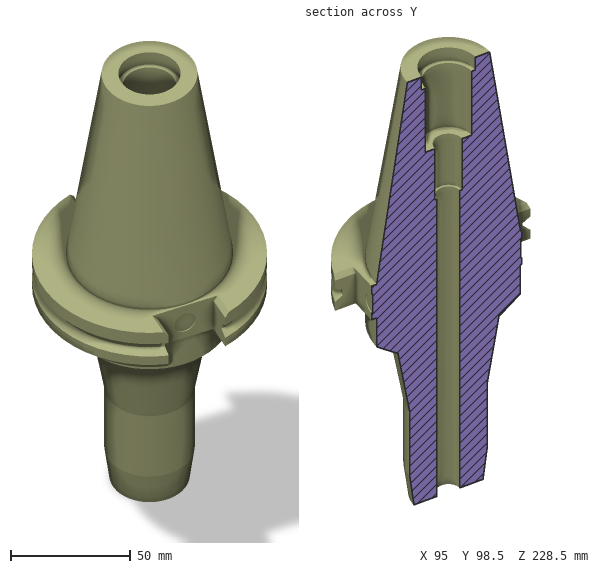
import cadquery as cq
import math

total_height = 228.5
nose_taper_top = 16.5
nose_cylinder_top = 51.0
neck_top = 84.5
collar_bottom = 92.4
flange_bottom = 108.0
flange_top = 126.2
gauge_height = 127.3

nose_tip_radius = 17.0
nose_radius = 19.0
neck_top_radius = 24.7
collar_radius = 35.0
flange_diameter = 98.5
flange_radius = flange_diameter / 2
taper_end_radius = 20.1

groove_radius = 45.7
groove_top = 119.8
groove_bottom = 112.7
groove_flank_angle = 30.0
groove_flank_height = (flange_radius - groove_radius) * math.tan(math.radians(groove_flank_angle))

left_slot_floor = 37.5
right_slot_floor = 35.7
slot_width = 26.0
slot_chamfer = 2.0
dimple_diameter = 9.8
dimple_depth = 0.5
dimple_height = 116.5

entry_radius = 13.0
entry_depth = 6.9
thread_radius = 11.2
thread_depth = 41.1
pilot_radius = 6.6
pilot_depth = 68.5
through_radius = 5.5


def make_body():
    """Revolve the outer profile, including the flange and its V-groove."""
    profile = [
        (0, 0),
        (nose_tip_radius, 0),
        (nose_radius, nose_taper_top),
        (nose_radius, nose_cylinder_top),
        (neck_top_radius, neck_top),
        (collar_radius, collar_bottom),
        (collar_radius, flange_bottom),
        (flange_radius, flange_bottom),
        (flange_radius, groove_bottom),
        (groove_radius, groove_bottom + groove_flank_height),
        (groove_radius, groove_top - groove_flank_height),
        (flange_radius, groove_top),
        (flange_radius, flange_top),
        (collar_radius, flange_top),
        (collar_radius, gauge_height),
        (taper_end_radius, total_height),
        (0, total_height),
    ]
    return cq.Workplane("XZ").polyline(profile).close().revolve(360, (0, 0), (0, 1))


def make_bore():
    """Stack the bore steps as cylinders cut down from the top face."""
    steps = [
        (entry_radius, entry_depth),
        (thread_radius, thread_depth),
        (pilot_radius, pilot_depth),
        (through_radius, total_height),
    ]
    bore = cq.Workplane("XY")
    for radius, depth in steps:
        step_floor = cq.Workplane("XY", origin=(0, 0, total_height - depth))
        bore = bore.union(step_floor.circle(radius).extrude(depth))
    return bore


def make_drive_slot(side, slot_floor):
    """Slot through the flange with chamfered upper edges and a round dimple in its floor; side is -1 or 1."""
    half_width = slot_width / 2
    outline = [
        (-half_width, flange_bottom),
        (half_width, flange_bottom),
        (half_width, flange_top - slot_chamfer),
        (half_width + slot_chamfer, flange_top),
        (-half_width - slot_chamfer, flange_top),
        (-half_width, flange_top - slot_chamfer),
    ]
    reach = side * (flange_radius - slot_floor)
    slot = cq.Workplane("YZ", origin=(side * slot_floor, 0, 0)).polyline(outline).close().extrude(reach)
    dimple = (
        cq.Workplane("YZ", origin=(side * slot_floor, 0, dimple_height))
        .circle(dimple_diameter / 2)
        .extrude(-side * dimple_depth)
    )
    return slot.union(dimple)


result = make_body().cut(make_bore())
for side, slot_floor in ((-1, left_slot_floor), (1, right_slot_floor)):
    result = result.cut(make_drive_slot(side, slot_floor))